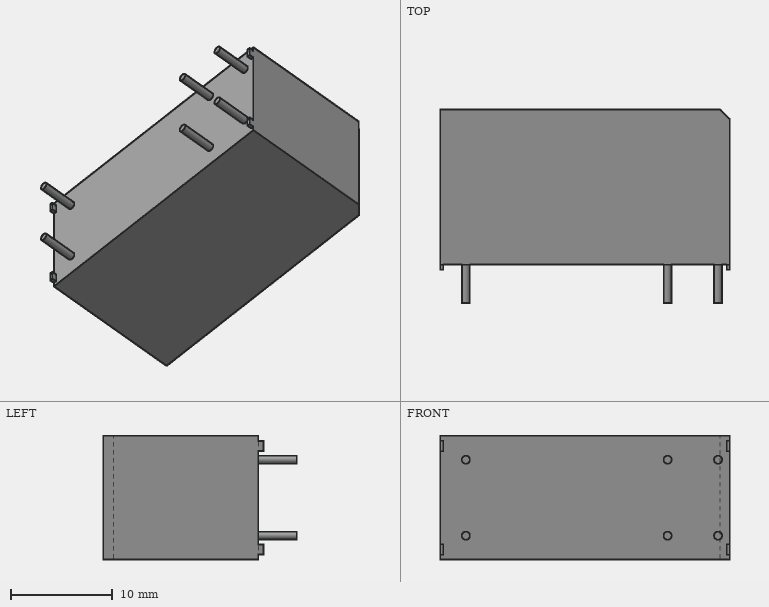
import cadquery as cq

length = 28.52
total_depth = 19.08
height = 12.2

pin_length = 3.8
body_depth = total_depth - pin_length
corner_chamfer = 1.0

pin_diameter = 0.8
pin_row_spacing = 7.47
pin_columns = (-11.72, 8.13, 13.1)

foot_thickness = 0.3
foot_width = 1.0
foot_projection = 0.5
foot_edge_gap = 0.5


def make_body():
    """Rectangular housing with one bevelled rear corner."""
    body = cq.Workplane("XY").box(length, body_depth, height, centered=(True, False, True))
    return body.edges("|Z and >X and >Y").chamfer(corner_chamfer)


def make_pins():
    """Pins standing out of the front face toward -Y."""
    row_z = pin_row_spacing / 2
    centers = [(x, z) for x in pin_columns for z in (-row_z, row_z)]
    return cq.Workplane("XZ").pushPoints(centers).circle(pin_diameter / 2).extrude(pin_length)


def make_feet():
    """One foot near each corner of the front face."""
    foot_x = (length - foot_thickness) / 2
    foot_z = (height - foot_width) / 2 - foot_edge_gap
    feet = cq.Workplane("XZ").rect(2 * foot_x, 2 * foot_z, forConstruction=True).vertices()
    return feet.rect(foot_thickness, foot_width).extrude(foot_projection)


result = make_body().union(make_pins()).union(make_feet())